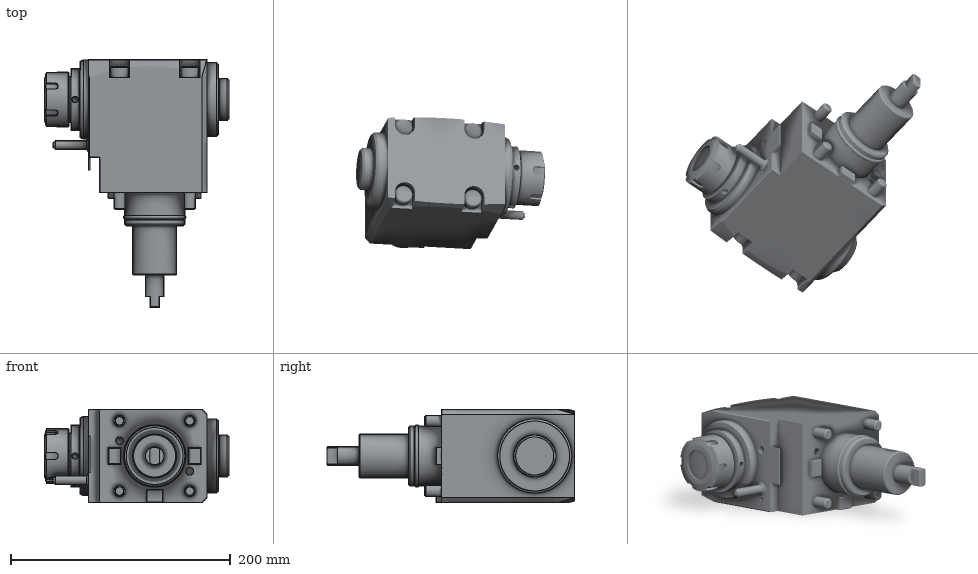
import cadquery as cq
import math


HEIGHT = 85.0
DEPTH = 121.0
LEFT_X = -60.3
RIGHT_X = 47.8
HALF_HEIGHT = HEIGHT / 2
MIDDLE_X = (LEFT_X + RIGHT_X) / 2
RIGHT_CHAMFER = 4.7
LEFT_CHAMFER = 1.0
STEP_X = -50.0
STEP_Y = 32.1
TONGUE_Y = 20.4
TONGUE_BOTTOM_Z = -15.2
TONGUE_TOP_Z = 18.1
TONGUE_THICKNESS = 1.5

RELIEF_RADIUS = 131.0
RELIEF_REAR_OVERLAP = 6.0
RELIEF_CENTRE_Y = DEPTH - RELIEF_REAR_OVERLAP - RELIEF_RADIUS
RELIEF_ANGLE = 15.0
RELIEF_REACH = 40.0

SCREW_OFFSET = 32.0
SCREW_DIAMETER = 10.0
SCREW_STICKOUT = 15.5
SCREW_CHAMFER = 1.2
HEAD_DIAMETER = 16.0
HEAD_HEIGHT = 10.0
HEAD_CHAMFER = 1.0
SCREW_SLOT_WIDTH = 18.4
SCREW_SLOT_DEPTH = 16.3

KEY_WIDTH = 15.2
KEY_LENGTH = 11.8
KEY_OUTER_END = 42.3
KEY_STICKOUT = 5.4
KEY_CHAMFER = 0.6

PORT_DIAMETER = 7.0
PORT_OFFSET_X = 32.0
PORT_OFFSET_Z = 14.0
PORT_DEPTH = 10.0

PILOT_RADIUS = 27.5
RING_START = 20.9
RING_END = 24.2
RING_RADIUS = 28.4
GROOVE_END = 25.2
GROOVE_RADIUS = 26.0
PILOT_END = 30.3
PILOT_CHAMFER = 1.6
BARREL_RADIUS = 20.0
BARREL_END = 75.2
BARREL_CHAMFER = 0.8
SHAFT_RADIUS = 8.5
SHOULDER_END = 94.8
SHAFT_END = 104.5
SHAFT_CHAMFER = 0.6
TANG_THICKNESS = 8.4

SPINDLE_Y = 84.7
FRONT_FLANGE_X = -67.8
FRONT_FLANGE_RADIUS = 36.1
FRONT_FLANGE_CHAMFER_X = 2.8
FRONT_FLANGE_CHAMFER_R = 1.5
REAR_FLANGE_X = 58.1
REAR_FLANGE_RADIUS = 33.8
REAR_FLANGE_CHAMFER = 2.0
REAR_BOSS_X = 67.9
REAR_BOSS_RADIUS = 19.3
REAR_BOSS_CHAMFER = 2.0
REAR_NECK_LENGTH = 1.1
REAR_NECK_X = REAR_FLANGE_X + REAR_NECK_LENGTH
REAR_NECK_RADIUS = 18.7

NOZZLE_Y = 43.2
NOZZLE_Z = -22.1
NOZZLE_RADIUS = 4.0
NOZZLE_TIP_X = -92.4
NOZZLE_TIP_CHAMFER = 2.2
NOZZLE_TIP_RADIUS = 2.0
NOZZLE_BASE_X = -62.0
NOZZLE_BASE_RADIUS = 6.3
PLUG_Z = -32.0
PLUG_DIAMETER = 12.6
PLUG_RECESS = 0.3
PLUG_SOCKET = 4.0
PLUG_SOCKET_DEPTH = 3.0
SET_SCREW_Z = 14.0
SET_SCREW_DIAMETER = 7.3
SET_SCREW_RECESS = 1.5
SET_SCREW_SOCKET = 4.0
SET_SCREW_SOCKET_DEPTH = 4.0

NUT_FACE_X = -100.5
NUT_CONE_X = -98.5
NUT_RADIUS = 24.9
NUT_FACE_RADIUS = 18.1
NUT_BACK_X = -77.8
NUT_BACK_CHAMFER = 1.0
NUT_BORE_RADIUS = 13.7
NUT_BORE_DEPTH = 2.0
NUT_NECK_RADIUS = 20.8
COLLAR_FRONT_X = -76.1
COLLAR_BACK_X = -68.8
COLLAR_RADIUS = 28.2
COLLAR_NECK_RADIUS = 26.5
COLLAR_HOLE_DIAMETER = 5.6
COLLAR_HOLE_DEPTH = 5.0
COLLAR_HOLE_COUNT = 4
WRENCH_SLOT_COUNT = 6
WRENCH_SLOT_WIDTH = 6.6
WRENCH_SLOT_END_X = -88.0
WRENCH_SLOT_FLOOR = 22.6

DRILL_POINT_ANGLE = 90.0

CLEARANCE = 5.0


def revolve_about_spindle(points):
    """Turn a closed (x, radius) outline about the spindle axis."""
    placed = [(x, SPINDLE_Y + radius) for x, radius in points]
    return cq.Workplane("XY").polyline(placed).close().revolve(360, (0, SPINDLE_Y), (1, SPINDLE_Y))


def box_between(low, high):
    sizes = [b - a for a, b in zip(low, high)]
    return cq.Workplane("XY").box(*sizes, centered=False).translate(low)


def cylinder(start, direction, radius, length):
    return cq.Workplane(cq.Solid.makeCylinder(radius, length, cq.Vector(*start), cq.Vector(*direction)))


def drill(start, direction, radius, length):
    """Cylinder ending in a conical drill point."""
    tip = cq.Vector(*start) + cq.Vector(*direction) * length
    point_length = radius / math.tan(math.radians(DRILL_POINT_ANGLE / 2))
    point = cq.Solid.makeCone(radius, 0, point_length, tip, cq.Vector(*direction))
    return cylinder(start, direction, radius, length).union(cq.Workplane(point))


def make_block():
    outline = [
        (LEFT_X + LEFT_CHAMFER, HALF_HEIGHT),
        (RIGHT_X - RIGHT_CHAMFER, HALF_HEIGHT),
        (RIGHT_X, HALF_HEIGHT - RIGHT_CHAMFER),
        (RIGHT_X, -HALF_HEIGHT + RIGHT_CHAMFER),
        (RIGHT_X - RIGHT_CHAMFER, -HALF_HEIGHT),
        (LEFT_X + LEFT_CHAMFER, -HALF_HEIGHT),
        (LEFT_X, -HALF_HEIGHT + LEFT_CHAMFER),
        (LEFT_X, HALF_HEIGHT - LEFT_CHAMFER),
    ]
    block = cq.Workplane("XZ").polyline(outline).close().extrude(-DEPTH)
    step = box_between(
        (LEFT_X - CLEARANCE, -CLEARANCE, -HALF_HEIGHT - CLEARANCE),
        (STEP_X, STEP_Y, HALF_HEIGHT + CLEARANCE),
    )
    tongue = box_between(
        (LEFT_X, TONGUE_Y, TONGUE_BOTTOM_Z),
        (LEFT_X + TONGUE_THICKNESS, STEP_Y + CLEARANCE, TONGUE_TOP_Z),
    )
    return relieve_rear(block.cut(step)).union(tongue)


def relieve_rear(block):
    """Trim the rear of the top and bottom faces to upright cones."""
    drop = RELIEF_REACH * math.tan(math.radians(RELIEF_ANGLE))
    outer_radius = RELIEF_RADIUS + RELIEF_REACH
    wedge = (
        cq.Workplane("XZ")
        .polyline([
            (RELIEF_RADIUS, HALF_HEIGHT),
            (outer_radius, HALF_HEIGHT - drop),
            (outer_radius, HALF_HEIGHT + CLEARANCE),
            (RELIEF_RADIUS, HALF_HEIGHT + CLEARANCE),
        ])
        .close()
        .revolve(360, (0, 0), (0, 1))
        .translate((MIDDLE_X, RELIEF_CENTRE_Y, 0))
    )
    front_half = box_between(
        (-2 * outer_radius, -2 * outer_radius, 0),
        (2 * outer_radius, DEPTH / 2, 2 * HEIGHT),
    )
    rear_wedge = wedge.cut(front_half)
    return block.cut(rear_wedge).cut(rear_wedge.mirror("XY"))


def add_screw(housing, x, side):
    """Add one mounting screw; side is +1 at the top and -1 at the bottom."""
    z = side * SCREW_OFFSET
    slot_front = DEPTH - SCREW_SLOT_DEPTH
    slot_floor = cylinder((x, slot_front, z), (0, 1, 0), SCREW_SLOT_WIDTH / 2, SCREW_SLOT_DEPTH + CLEARANCE)
    slot_ends = sorted((z, side * (HALF_HEIGHT + CLEARANCE)))
    slot_opening = box_between(
        (x - SCREW_SLOT_WIDTH / 2, slot_front, slot_ends[0]),
        (x + SCREW_SLOT_WIDTH / 2, DEPTH + CLEARANCE, slot_ends[1]),
    )
    head = (
        cylinder((x, slot_front, z), (0, 1, 0), HEAD_DIAMETER / 2, HEAD_HEIGHT)
        .faces(">Y").chamfer(HEAD_CHAMFER)
    )
    thread = (
        cylinder((x, 0, z), (0, -1, 0), SCREW_DIAMETER / 2, SCREW_STICKOUT)
        .faces("<Y").chamfer(SCREW_CHAMFER)
    )
    return housing.cut(slot_floor).cut(slot_opening).union(head).union(thread)


def make_key(turn):
    """Key on the mounting face, turned about the shank axis from its place at +X."""
    key = box_between(
        (KEY_OUTER_END - KEY_LENGTH, -KEY_STICKOUT, -KEY_WIDTH / 2),
        (KEY_OUTER_END, 0, KEY_WIDTH / 2),
    )
    return key.faces("<Y").edges().chamfer(KEY_CHAMFER).rotate((0, 0, 0), (0, 1, 0), turn)


def make_shank():
    outline = [
        (0, 0),
        (PILOT_RADIUS, 0),
        (PILOT_RADIUS, -RING_START),
        (GROOVE_RADIUS, -RING_START),
        (GROOVE_RADIUS, -GROOVE_END),
        (PILOT_RADIUS, -GROOVE_END),
        (PILOT_RADIUS, -PILOT_END + PILOT_CHAMFER),
        (PILOT_RADIUS - PILOT_CHAMFER, -PILOT_END),
        (BARREL_RADIUS, -PILOT_END),
        (BARREL_RADIUS, -BARREL_END + BARREL_CHAMFER),
        (BARREL_RADIUS - BARREL_CHAMFER, -BARREL_END),
        (SHAFT_RADIUS, -BARREL_END),
        (SHAFT_RADIUS, -SHAFT_END + SHAFT_CHAMFER),
        (SHAFT_RADIUS - SHAFT_CHAMFER, -SHAFT_END),
        (0, -SHAFT_END),
    ]
    shank = cq.Workplane("XY").polyline(outline).close().revolve(360, (0, 0), (0, 1))
    for side in (-1, 1):
        ends = sorted((side * TANG_THICKNESS / 2, side * (SHAFT_RADIUS + CLEARANCE)))
        flat = box_between(
            (ends[0], -SHAFT_END - CLEARANCE, -SHAFT_RADIUS - CLEARANCE),
            (ends[1], -SHOULDER_END, SHAFT_RADIUS + CLEARANCE),
        )
        shank = shank.cut(flat)
    return shank.union(make_seal_ring())


def make_seal_ring():
    """Round-faced sealing ring seated in the front of the shank groove."""
    bulge_base = RING_RADIUS - (RING_END - RING_START) / 2
    return (
        cq.Workplane("XY")
        .moveTo(GROOVE_RADIUS, -RING_START)
        .lineTo(bulge_base, -RING_START)
        .threePointArc((RING_RADIUS, -(RING_START + RING_END) / 2), (bulge_base, -RING_END))
        .lineTo(GROOVE_RADIUS, -RING_END)
        .close()
        .revolve(360, (0, 0), (0, 1))
    )


def make_front_flange():
    return revolve_about_spindle([
        (LEFT_X, 0),
        (FRONT_FLANGE_X, 0),
        (FRONT_FLANGE_X, FRONT_FLANGE_RADIUS - FRONT_FLANGE_CHAMFER_R),
        (FRONT_FLANGE_X + FRONT_FLANGE_CHAMFER_X, FRONT_FLANGE_RADIUS),
        (LEFT_X, FRONT_FLANGE_RADIUS),
    ])


def make_rear_flange():
    return revolve_about_spindle([
        (RIGHT_X, 0),
        (RIGHT_X, REAR_FLANGE_RADIUS),
        (REAR_FLANGE_X - REAR_FLANGE_CHAMFER, REAR_FLANGE_RADIUS),
        (REAR_FLANGE_X, REAR_FLANGE_RADIUS - REAR_FLANGE_CHAMFER),
        (REAR_FLANGE_X, REAR_NECK_RADIUS),
        (REAR_NECK_X, REAR_NECK_RADIUS),
        (REAR_NECK_X, REAR_BOSS_RADIUS),
        (REAR_BOSS_X - REAR_BOSS_CHAMFER, REAR_BOSS_RADIUS),
        (REAR_BOSS_X, REAR_BOSS_RADIUS - REAR_BOSS_CHAMFER),
        (REAR_BOSS_X, 0),
    ])


def make_nozzle():
    outline = [
        (LEFT_X, 0),
        (LEFT_X, NOZZLE_BASE_RADIUS),
        (NOZZLE_BASE_X, NOZZLE_RADIUS),
        (NOZZLE_TIP_X + NOZZLE_TIP_CHAMFER, NOZZLE_RADIUS),
        (NOZZLE_TIP_X, NOZZLE_TIP_RADIUS),
        (NOZZLE_TIP_X, 0),
    ]
    nozzle = cq.Workplane("XY").polyline(outline).close().revolve(360, (0, 0), (1, 0))
    return nozzle.translate((0, NOZZLE_Y, NOZZLE_Z))


def cut_left_face_details(housing):
    """Cut the plug recess and the set screw hole beside the coolant nozzle."""
    inward = (1, 0, 0)
    recess = cylinder((LEFT_X, NOZZLE_Y, PLUG_Z), inward, PLUG_DIAMETER / 2, PLUG_RECESS)
    socket = cylinder((LEFT_X, NOZZLE_Y, PLUG_Z), inward, PLUG_SOCKET / 2, PLUG_SOCKET_DEPTH)
    countersink = cq.Workplane(cq.Solid.makeCone(
        SET_SCREW_DIAMETER / 2, SET_SCREW_SOCKET / 2, SET_SCREW_RECESS,
        cq.Vector(LEFT_X, NOZZLE_Y, SET_SCREW_Z), cq.Vector(*inward),
    ))
    screw_socket = cylinder(
        (LEFT_X, NOZZLE_Y, SET_SCREW_Z), inward, SET_SCREW_SOCKET / 2, SET_SCREW_SOCKET_DEPTH
    )
    return housing.cut(recess).cut(socket).cut(countersink).cut(screw_socket)


def cut_ports(housing):
    """Cut the drilled port and the flat-bottomed port in the mounting face."""
    radius = PORT_DIAMETER / 2
    inward = (0, 1, 0)
    drilled = drill((-PORT_OFFSET_X, 0, PORT_OFFSET_Z), inward, radius, PORT_DEPTH)
    flat = cylinder((PORT_OFFSET_X, 0, -PORT_OFFSET_Z), inward, radius, PORT_DEPTH)
    return housing.cut(drilled).cut(flat)


def make_housing():
    housing = make_block().union(make_front_flange()).union(make_rear_flange())
    for x in (-SCREW_OFFSET, SCREW_OFFSET):
        for side in (-1, 1):
            housing = add_screw(housing, x, side)
    for turn in (0, 90, 180):
        housing = housing.union(make_key(turn))
    housing = cut_ports(housing.union(make_shank()))
    return cut_left_face_details(housing).union(make_nozzle())


def make_wrench_slot(turn):
    """Round-ended slot in the nut, turned about the spindle axis from its place at +Y."""
    half_width = WRENCH_SLOT_WIDTH / 2
    arc_centre_x = WRENCH_SLOT_END_X - half_width
    height = NUT_RADIUS + CLEARANCE - WRENCH_SLOT_FLOOR
    floor_y = SPINDLE_Y + WRENCH_SLOT_FLOOR
    straight = box_between(
        (NUT_FACE_X - CLEARANCE, floor_y, -half_width),
        (arc_centre_x, floor_y + height, half_width),
    )
    slot = straight.union(cylinder((arc_centre_x, floor_y, 0), (0, 1, 0), half_width, height))
    return slot.rotate((0, SPINDLE_Y, 0), (1, SPINDLE_Y, 0), turn)


def make_collar_hole(turn):
    """Radial pin hole in the collar, turned about the spindle axis from its place at +Y."""
    hole = drill(
        ((COLLAR_FRONT_X + COLLAR_BACK_X) / 2, SPINDLE_Y + COLLAR_RADIUS + CLEARANCE, 0),
        (0, -1, 0), COLLAR_HOLE_DIAMETER / 2, COLLAR_HOLE_DEPTH + CLEARANCE,
    )
    return hole.rotate((0, SPINDLE_Y, 0), (1, SPINDLE_Y, 0), turn)


def make_spindle():
    spindle = revolve_about_spindle([
        (NUT_FACE_X + NUT_BORE_DEPTH, 0),
        (NUT_FACE_X + NUT_BORE_DEPTH, NUT_BORE_RADIUS),
        (NUT_FACE_X, NUT_BORE_RADIUS),
        (NUT_FACE_X, NUT_FACE_RADIUS),
        (NUT_CONE_X, NUT_RADIUS),
        (NUT_BACK_X - NUT_BACK_CHAMFER, NUT_RADIUS),
        (NUT_BACK_X, NUT_RADIUS - NUT_BACK_CHAMFER),
        (NUT_BACK_X, NUT_NECK_RADIUS),
        (COLLAR_FRONT_X, NUT_NECK_RADIUS),
        (COLLAR_FRONT_X, COLLAR_RADIUS),
        (COLLAR_BACK_X, COLLAR_RADIUS),
        (COLLAR_BACK_X, COLLAR_NECK_RADIUS),
        (FRONT_FLANGE_X, COLLAR_NECK_RADIUS),
        (FRONT_FLANGE_X, 0),
    ])
    for i in range(WRENCH_SLOT_COUNT):
        spindle = spindle.cut(make_wrench_slot(i * 360 / WRENCH_SLOT_COUNT))
    for i in range(COLLAR_HOLE_COUNT):
        spindle = spindle.cut(make_collar_hole(i * 360 / COLLAR_HOLE_COUNT))
    return spindle


housing = make_housing()
spindle = make_spindle()

result = cq.Compound.makeCompound([housing.solids().val(), spindle.solids().val()])